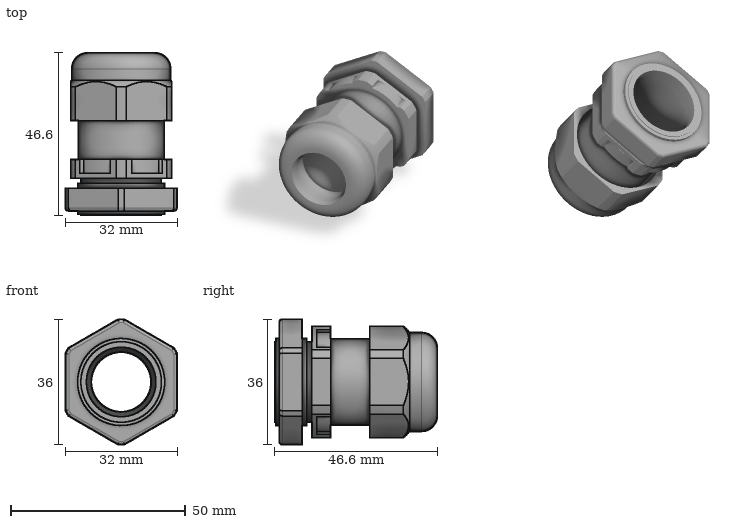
import cadquery as cq
import math


entry_step_end = 0.3
locknut_start = 1.2
locknut_end = 7.8
entry_thread_end = 9.18
body_hex_start = 10.57
pocket_start = 11.95
body_hex_end = 16.0
cap_start = 27.1
cap_chamfer_end = 38.6
body_end = cap_chamfer_end
dome_start = 41.9
cap_end = 46.6

wrench_flats = 29.0
wrench_corners = 32.0
locknut_flats = 32.0
locknut_corners = 35.95
locknut_fillet = 0.95

entry_thread_radius = 12.5
relief_radius = 11.55
cap_thread_radius = 12.4
body_bore_entry_radius = 9.95
body_bore_exit_radius = 8.6
body_bore_taper_length = 2.35
pocket_side_x = 3.07
pocket_side_z = 9.9
pocket_floor_radius = 14.63

cap_thread_bore_radius = 13.5
cap_collar_radius = 14.2
cap_opening_radius = 8.52
dome_radius = cap_end - dome_start


def cylinder(radius, start, end):
    """Solid cylinder on the Y axis between two stations."""
    return cq.Workplane("XZ", origin=(0, start, 0)).circle(radius).extrude(start - end)


def hexagon(flats, corners, start, end):
    """Hexagonal prism on the Y axis with its corners turned to the corner diameter."""
    sharp_corners = flats / math.cos(math.radians(30))
    prism = (
        cq.Workplane("XZ", origin=(0, start, 0))
        .transformed(rotate=(0, 0, 30))
        .polygon(6, sharp_corners)
        .extrude(start - end)
    )
    return prism.intersect(cylinder(corners / 2, start, end))


def revolved(points):
    """Solid of revolution about Y from (radius, station) points."""
    return cq.Workplane("XY").polyline(points).close().revolve(360, (0, 0, 0), (0, 1, 0))


def pocket_block(x_sign, z_sign):
    """Square-sided block that clears one slanted face of the body hexagon."""
    size = wrench_corners
    block = cq.Workplane("XY").box(size, body_hex_end - pocket_start, size, centered=False)
    block = block.translate((pocket_side_x, pocket_start, pocket_side_z))
    if x_sign < 0:
        block = block.mirror("YZ")
    if z_sign < 0:
        block = block.mirror("XY")
    return block


def make_gland_body():
    body = cylinder(relief_radius, 0, body_hex_start)
    body = body.union(cylinder(entry_thread_radius, entry_step_end, entry_thread_end))
    body = body.union(hexagon(wrench_flats, wrench_corners, body_hex_start, body_hex_end))
    body = body.union(cylinder(cap_thread_radius, body_hex_end, body_end))

    floor_cylinder = cylinder(pocket_floor_radius, pocket_start, body_hex_end)
    for x_sign in (1, -1):
        for z_sign in (1, -1):
            block = pocket_block(x_sign, z_sign)
            body = body.cut(block)
            body = body.union(block.intersect(floor_cylinder))

    bore = revolved([
        (0, 0),
        (body_bore_entry_radius, 0),
        (body_bore_entry_radius, body_end - body_bore_taper_length),
        (body_bore_exit_radius, body_end),
        (0, body_end),
    ])
    return body.cut(bore)


def make_cap():
    chamfer_start = cap_chamfer_end - (wrench_corners / 2 - cap_collar_radius)
    hexagon_part = hexagon(wrench_flats, wrench_corners, cap_start, cap_chamfer_end)
    chamfer_envelope = revolved([
        (0, cap_start),
        (wrench_corners / 2, cap_start),
        (wrench_corners / 2, chamfer_start),
        (cap_collar_radius, cap_chamfer_end),
        (0, cap_chamfer_end),
    ])
    dome = cylinder(cap_collar_radius, cap_chamfer_end, cap_end)
    dome = dome.faces(">Y").edges().fillet(dome_radius)
    cap = hexagon_part.intersect(chamfer_envelope).union(dome)
    cap = cap.cut(cylinder(cap_thread_bore_radius, cap_start, body_end))
    return cap.cut(cylinder(cap_opening_radius, cap_start, cap_end))


def make_locknut():
    nut = hexagon(locknut_flats, locknut_corners, locknut_start, locknut_end)
    nut = nut.faces("<Y").edges().fillet(locknut_fillet)
    return nut.cut(cylinder(entry_thread_radius, locknut_start, locknut_end))


gland_body = make_gland_body()
cap = make_cap()
locknut = make_locknut()

result = cq.Compound.makeCompound([gland_body.val(), cap.val(), locknut.val()])